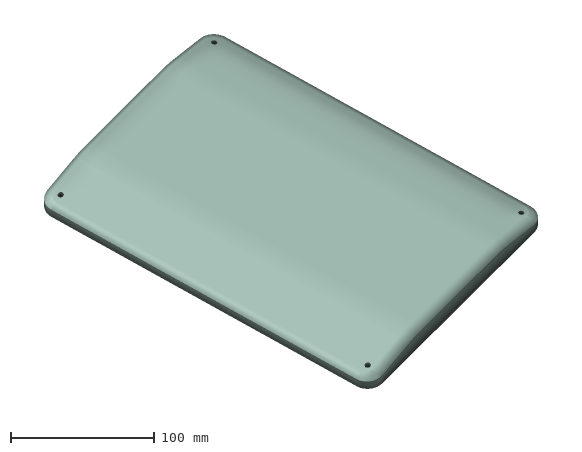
import cadquery as cq
import math

length = 292.0
width = 203.3
height = 19.0
corner_radius = 12.9

flat_half_width = 44.0
bend_end = 58.7
slope_angle = math.radians(10.5)

edge_radius = 9.3
edge_overhang = 2.0

hole_diameter = 4.5
hole_inset = 12.0
hole_spacing_x = length - 2 * hole_inset
hole_spacing_y = width - 2 * hole_inset


def rounded_block(margin):
    """Upright block with the plan outline grown outwards by margin."""
    return (
        cq.Workplane("XY")
        .rect(length + 2 * margin, width + 2 * margin)
        .extrude(height)
        .edges("|Z")
        .fillet(corner_radius + margin)
    )


def crowned_bar(margin):
    """Bar along X with the crowned profile: flat, two tangent bends and two slopes."""
    half_width = width / 2 + margin
    bend_radius = (bend_end - flat_half_width) / math.sin(slope_angle)
    bend_end_z = height - bend_radius * (1 - math.cos(slope_angle))
    bend_mid_y = flat_half_width + bend_radius * math.sin(slope_angle / 2)
    bend_mid_z = height - bend_radius * (1 - math.cos(slope_angle / 2))
    side_z = bend_end_z - (half_width - bend_end) * math.tan(slope_angle)
    half_length = length / 2 + margin
    return (
        cq.Workplane("YZ", origin=(-half_length, 0, 0))
        .moveTo(-half_width, 0)
        .lineTo(-half_width, side_z)
        .lineTo(-bend_end, bend_end_z)
        .threePointArc((-bend_mid_y, bend_mid_z), (-flat_half_width, height))
        .lineTo(flat_half_width, height)
        .threePointArc((bend_mid_y, bend_mid_z), (bend_end, bend_end_z))
        .lineTo(half_width, side_z)
        .lineTo(half_width, 0)
        .close()
        .extrude(2 * half_length)
    )


body = rounded_block(edge_overhang).intersect(crowned_bar(edge_overhang))
top_face = body.faces(">Z")
body = top_face.edges("|Y").fillet(edge_radius)

body = body.intersect(rounded_block(0))

holes = (
    cq.Workplane("XY")
    .rect(hole_spacing_x, hole_spacing_y, forConstruction=True)
    .vertices()
    .circle(hole_diameter / 2)
    .extrude(height)
)
result = body.cut(holes)